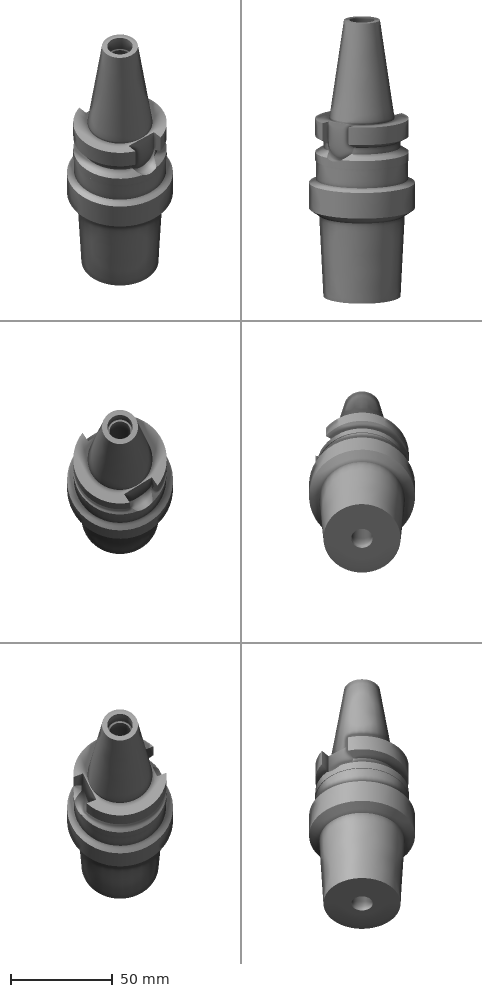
import cadquery as cq

total_height = 138.4

collar_cone_bottom = 40.7
collar_bottom = 44.1
collar_top = 57.0
body_bottom = 58.7
lower_flange_bottom = 68.2
lower_flange_top = 72.4
groove_bottom = 74.9
groove_top = 78.2
upper_flange_bottom = 80.4
upper_flange_top = 89.1
gauge_plane = 90.0

nose_tip_radius = 19.0
nose_root_radius = 21.0
collar_radius = 26.0
body_radius = 22.7
flange_radius = 23.0
groove_radius = 19.0
gauge_radius = 15.9
taper_per_length = 7 / 24
taper_tip_radius = gauge_radius - (total_height - gauge_plane) * taper_per_length / 2

bore_radius = 5.3
counterbore_radius = 6.2
counterbore_depth = 7.0

slot_width = 16.2
slot_bottom = 71.1
slot_floor_offset = 16.3


def turned_body():
    """Solid of revolution through the nose, collar, flanges and taper."""
    profile = [
        (0, 0),
        (nose_tip_radius, 0),
        (nose_root_radius, collar_cone_bottom),
        (collar_radius, collar_bottom),
        (collar_radius, collar_top),
        (body_radius, body_bottom),
        (body_radius, lower_flange_bottom),
        (flange_radius, lower_flange_bottom),
        (flange_radius, lower_flange_top),
        (groove_radius, groove_bottom),
        (groove_radius, groove_top),
        (flange_radius, upper_flange_bottom),
        (flange_radius, upper_flange_top),
        (gauge_radius, upper_flange_top),
        (gauge_radius, gauge_plane),
        (taper_tip_radius, total_height),
        (0, total_height),
    ]
    return cq.Workplane("XZ").polyline(profile).close().revolve(360, (0, 0), (0, 1))


def stepped_bore():
    """Through bore with a wider counterbore at the taper tip."""
    through = cq.Workplane("XY").circle(bore_radius).extrude(total_height)
    counterbore = (
        cq.Workplane("XY", origin=(0, 0, total_height))
        .circle(counterbore_radius)
        .extrude(-counterbore_depth)
    )
    return through.union(counterbore)


def drive_slot(side):
    """Round-bottomed slot, open at the flange top, on the given X side (+1 or -1)."""
    half_width = slot_width / 2
    arc_center = slot_bottom + half_width
    return (
        cq.Workplane("YZ", origin=(side * slot_floor_offset, 0, 0))
        .moveTo(-half_width, upper_flange_top)
        .lineTo(-half_width, arc_center)
        .threePointArc((0, slot_bottom), (half_width, arc_center))
        .lineTo(half_width, upper_flange_top)
        .close()
        .extrude(side * (collar_radius - slot_floor_offset))
    )


result = turned_body().cut(stepped_bore())
for side in (-1, 1):
    result = result.cut(drive_slot(side))